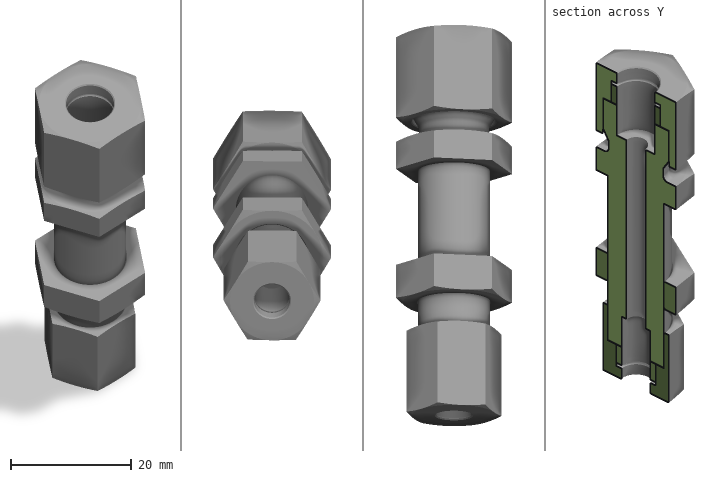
import cadquery as cq
import math


total_length = 65
nut_length = 14.5
hex_top = 47.0
hex_thickness = 5.0
hex_bottom = hex_top - hex_thickness
locknut_bottom = 19.5
locknut_thickness = 6.0

large_flats = 17.0
small_flats = 14.0
corner_chamfer_angle = 15

upper_thread_diameter = 14.0
lower_thread_diameter = 12.0
through_bore_diameter = 4.0
socket_depth = 6.5
neck_diameter = 11.7
neck_fillet = 1.0
neck_straight_length = 1.3
neck_runout_angle = 30

upper_tube_diameter = 8.0
lower_tube_diameter = 6.0
tube_lip_length = 2.35
tube_mouth_chamfer = 0.2
ring_clearance = 0.6
ring_length = 3.9
ring_wall = 1.2
thread_mouth_chamfer = 0.16

ring_outer_end = tube_lip_length + ring_clearance
ring_inner_end = ring_outer_end + ring_length
fitting_bottom = ring_inner_end
fitting_top = total_length - ring_inner_end


def cylinder(diameter, start, end):
    """Cylinder on the Z axis between two heights."""
    return cq.Workplane("XY").workplane(offset=start).circle(diameter / 2).extrude(end - start)


def flared_mouth(diameter, chamfer, face, inward):
    """Cone that chamfers a hole's mouth at height face; inward is +1 or -1 along Z."""
    radius = diameter / 2
    inner_face = face + inward * chamfer
    profile = [(0, face), (radius + chamfer, face), (radius, inner_face), (0, inner_face)]
    return cq.Workplane("XZ").polyline(profile).close().revolve(360, (0, 0), (0, 1))


def hexagon(flats, start, end, chamfer_start, chamfer_end):
    """Hexagonal prism whose corners are turned down to a cone at the chosen ends."""
    corner_radius = flats / math.sqrt(3)
    flat_radius = flats / 2
    waste_radius = 2 * corner_radius - flat_radius
    waste_drop = (waste_radius - flat_radius) * math.tan(math.radians(corner_chamfer_angle))
    prism = (
        cq.Workplane("XY")
        .workplane(offset=start)
        .transformed(rotate=(0, 0, 90))
        .polygon(6, 2 * corner_radius)
        .extrude(end - start)
    )
    for chamfered, face, inward in ((chamfer_start, start, 1), (chamfer_end, end, -1)):
        if chamfered:
            corner_waste = (
                cq.Workplane("XZ")
                .moveTo(flat_radius, face)
                .lineTo(waste_radius, face)
                .lineTo(waste_radius, face + inward * waste_drop)
                .close()
                .revolve(360, (0, 0), (0, 1))
            )
            prism = prism.cut(corner_waste)
    return prism


def make_neck_and_upper_thread():
    """Undercut neck above the hexagon, running out conically into the upper thread."""
    neck_radius = neck_diameter / 2
    thread_radius = upper_thread_diameter / 2
    fillet_centre_radius = neck_radius + neck_fillet
    straight_start = hex_top + neck_fillet
    straight_end = straight_start + neck_straight_length
    runout = math.radians(neck_runout_angle)

    def fillet_point(centre_z, angle):
        """Point on a neck fillet, by angle above the horizontal through its centre."""
        return (
            fillet_centre_radius - neck_fillet * math.cos(angle),
            centre_z + neck_fillet * math.sin(angle),
        )

    runout_start = fillet_point(straight_end, runout)
    runout_end_z = runout_start[1] + (thread_radius - runout_start[0]) / math.tan(runout)
    return (
        cq.Workplane("XZ")
        .moveTo(0, hex_top)
        .lineTo(fillet_centre_radius, hex_top)
        .threePointArc(fillet_point(straight_start, -math.pi / 4), (neck_radius, straight_start))
        .lineTo(neck_radius, straight_end)
        .threePointArc(fillet_point(straight_end, runout / 2), runout_start)
        .lineTo(thread_radius, runout_end_z)
        .lineTo(thread_radius, fitting_top)
        .lineTo(0, fitting_top)
        .close()
        .revolve(360, (0, 0), (0, 1))
    )


def make_fitting():
    """Hexagon body with a short upper thread, a long lower thread and stepped bore."""
    fitting = hexagon(large_flats, hex_bottom, hex_top, False, True)
    fitting = fitting.union(make_neck_and_upper_thread())
    fitting = fitting.union(cylinder(lower_thread_diameter, fitting_bottom, hex_bottom))
    fitting = fitting.cut(cylinder(through_bore_diameter, fitting_bottom, fitting_top))
    fitting = fitting.cut(cylinder(upper_tube_diameter, fitting_top - socket_depth, fitting_top))
    return fitting.cut(cylinder(lower_tube_diameter, fitting_bottom, fitting_bottom + socket_depth))


def make_union_nut(flats, thread_diameter, tube_diameter):
    """Union nut with its tube end at Z = 0 and its threaded end at Z = nut_length."""
    nut = hexagon(flats, 0, nut_length, True, True)
    nut = nut.cut(cylinder(tube_diameter, 0, tube_lip_length))
    nut = nut.cut(flared_mouth(tube_diameter, tube_mouth_chamfer, 0, 1))
    nut = nut.cut(cylinder(tube_diameter + 2 * ring_wall, tube_lip_length, ring_inner_end))
    nut = nut.cut(cylinder(thread_diameter, ring_inner_end, nut_length))
    return nut.cut(flared_mouth(thread_diameter, thread_mouth_chamfer, nut_length, -1))


def make_cutting_ring(tube_diameter):
    """Sleeve round the tube, between the nut's lip and the fitting, for a nut at Z = 0."""
    sleeve = cylinder(tube_diameter + 2 * ring_wall, ring_outer_end, ring_inner_end)
    return sleeve.cut(cylinder(tube_diameter, ring_outer_end, ring_inner_end))


def make_locknut():
    """Hexagon nut on the long lower thread, chamfered on its lower corners."""
    locknut_top = locknut_bottom + locknut_thickness
    locknut = hexagon(large_flats, locknut_bottom, locknut_top, True, False)
    locknut = locknut.cut(cylinder(lower_thread_diameter, locknut_bottom, locknut_top))
    locknut = locknut.cut(flared_mouth(lower_thread_diameter, thread_mouth_chamfer, locknut_bottom, 1))
    return locknut.cut(flared_mouth(lower_thread_diameter, thread_mouth_chamfer, locknut_top, -1))


def turn_to_top(body):
    """Turn a body from the lower end over to the upper end of the fitting."""
    return body.rotate((0, 0, 0), (1, 0, 0), 180).translate((0, 0, total_length))


fitting = make_fitting()
locknut = make_locknut()
lower_nut = make_union_nut(small_flats, lower_thread_diameter, lower_tube_diameter)
upper_nut = turn_to_top(make_union_nut(large_flats, upper_thread_diameter, upper_tube_diameter))
lower_ring = make_cutting_ring(lower_tube_diameter)
upper_ring = turn_to_top(make_cutting_ring(upper_tube_diameter))

bodies = [fitting, locknut, lower_nut, upper_nut, lower_ring, upper_ring]
result = cq.Compound.makeCompound([body.val() for body in bodies])